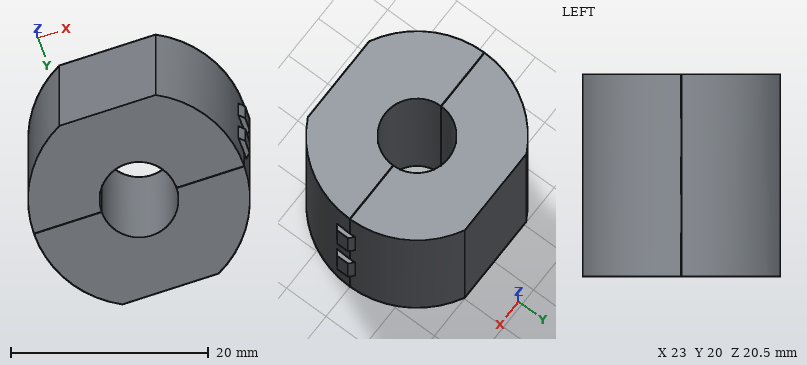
import cadquery as cq

overall_length = 23.0
lug_projection = 0.5
outer_diameter = overall_length - lug_projection
outer_radius = outer_diameter / 2
width_across_flats = 20.0
height = 20.5
bore_diameter = 8.0
seam_gap = 0.05

lug_height = 4.0
lug_spacing = 7.7
lug_center_y = -0.5
lug_tip_width = 1.33
lug_base_width = 2.4
lug_root_depth = 0.05


def make_half(low_y, high_y):
    """Part of the flatted sleeve between two planes of constant Y."""
    slab_depth = high_y - low_y
    slab = cq.Workplane("XY").box(outer_diameter, slab_depth, height)
    slab = slab.translate((0, (low_y + high_y) / 2, 0))
    sleeve = (
        cq.Workplane("XY", origin=(0, 0, -height / 2))
        .circle(outer_radius)
        .circle(bore_diameter / 2)
        .extrude(height)
    )
    return sleeve.intersect(slab)


def make_lug(center_z):
    """Tapered lug on the outer wall, with a flat base and a narrower tip."""
    root_x = outer_radius - lug_root_depth
    tip_x = outer_radius + lug_projection
    base_low = lug_center_y - lug_base_width / 2
    base_high = lug_center_y + lug_base_width / 2
    tip_low = lug_center_y - lug_tip_width / 2
    tip_high = lug_center_y + lug_tip_width / 2
    return (
        cq.Workplane("XY", origin=(0, 0, center_z - lug_height / 2))
        .moveTo(root_x, base_low)
        .lineTo(tip_x, tip_low)
        .lineTo(tip_x, tip_high)
        .lineTo(root_x, base_high)
        .close()
        .extrude(lug_height)
    )


back_half = make_half(seam_gap, width_across_flats / 2)

front_half = make_half(-width_across_flats / 2, 0)
for center_z in (-lug_spacing / 2, lug_spacing / 2):
    front_half = front_half.union(make_lug(center_z).cut(back_half))

result = cq.Compound.makeCompound([back_half.solids().val(), front_half.solids().val()])